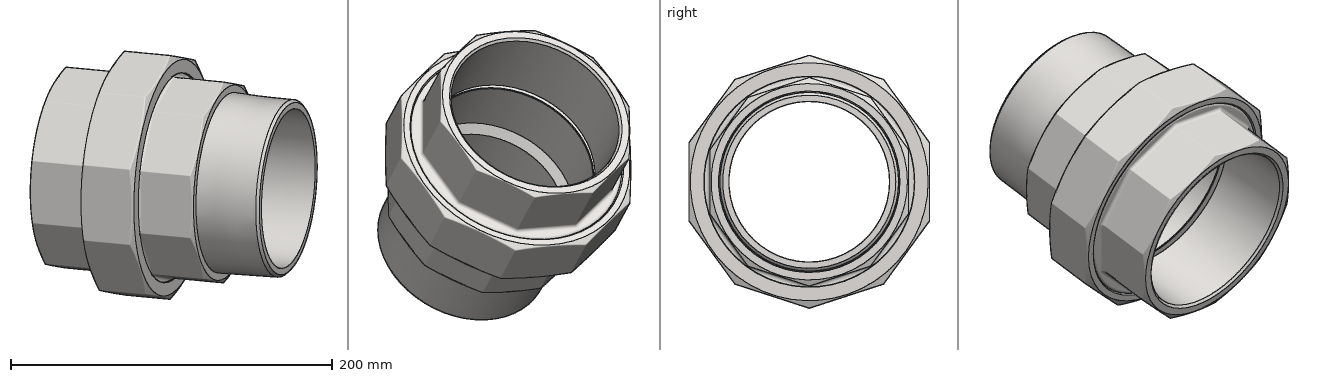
import cadquery as cq
import math

SIDES = 10
FLAT_TO_CORNER = 1 / math.cos(math.pi / SIDES)
OVERALL_HEIGHT = 157.6
NUT_EDGE_FILLET = 1.0
NUT_ACROSS_FLATS = (OVERALL_HEIGHT - 2 * NUT_EDGE_FILLET) / FLAT_TO_CORNER + 2 * NUT_EDGE_FILLET
BODY_EDGE_FILLET = 0.6
BODY_ACROSS_FLATS = 123.5
NUT_CHAMFER_DIAMETER = 148.2
BODY_CHAMFER_DIAMETER = 122.3
CHAMFER_ANGLE = 25.0
TOLERANCE = 0.02

FEMALE_SHOULDER = 38.1
NUT_START = 38.1
NUT_END = 73.1
FEMALE_END = 49.8
MALE_START = 53.3
COLLAR_END = 66.2
MALE_SHOULDER = 71.9
MALE_DECAGON_END = 108.0
TOTAL_LENGTH = 149.0

NUT_BORE = 138.4
NUT_MOUTH = 140.0
LIP_BORE = 131.5

COLLAR_FACE = 136.8
NECK_DIAMETER = 131.0
SHOULDER_FILLET = 2.2
SOCKET_MOUTH = 113.0
BORE = 110.0
OUTLET_BORE = 100.0
OUTLET_CONE_START = 91.4
INLET_CHAMFER = 0.5
SPIGOT_ROOT_DIAMETER = 113.0
SPIGOT_TIP_DIAMETER = 111.3
SPIGOT_CHAMFER = 1.7


def revolved(profile):
    """Solid of revolution about X from (station, diameter) points, closed along the axis."""
    points = [(profile[0][0], 0)]
    points += [(x, diameter / 2) for x, diameter in profile]
    points += [(profile[-1][0], 0)]
    return cq.Workplane("XY").polyline(points).close().revolve(360, (0, 0, 0), (1, 0, 0))


def cylinder(start, end, diameter):
    return revolved([(start, diameter), (end, diameter)])


def corner_chamfer_length(across_flats, face_diameter):
    """Axial length of a corner chamfer, measured at the corners."""
    across_corners = across_flats * FLAT_TO_CORNER
    return (across_corners - face_diameter) / 2 * math.tan(math.radians(CHAMFER_ANGLE))


def decagon(start, end, across_flats, envelope, edge_fillet):
    """Decagonal prism along X with a corner pointing up, trimmed by a turned envelope.

    All edges are rounded except those around the two end faces.
    """
    corner_radius = across_flats * FLAT_TO_CORNER / 2
    angles = [2 * math.pi * i / SIDES for i in range(SIDES)]
    corners = [(corner_radius * math.sin(a), corner_radius * math.cos(a)) for a in angles]
    prism = cq.Workplane("YZ", origin=(start, 0, 0)).polyline(corners).close().extrude(end - start)
    prism = prism.intersect(envelope)
    side_edges = prism.edges().filter(lambda edge: start + TOLERANCE < edge.Center().x < end - TOLERANCE)
    return side_edges.fillet(edge_fillet)


def make_grip(length, collar_length):
    """Decagonal wrench grip with its chamfered end at X = 0, standing on a round collar."""
    corner_diameter = BODY_ACROSS_FLATS * FLAT_TO_CORNER
    end_chamfer = corner_chamfer_length(BODY_ACROSS_FLATS, BODY_CHAMFER_DIAMETER)
    envelope = revolved([
        (0, BODY_CHAMFER_DIAMETER),
        (end_chamfer, corner_diameter),
        (length, corner_diameter),
    ])
    collar_chamfer = (NUT_BORE - COLLAR_FACE) / 2
    collar = revolved([
        (length, COLLAR_FACE),
        (length + collar_chamfer, NUT_BORE),
        (length + collar_length, NUT_BORE),
    ])
    grip = decagon(0, length, BODY_ACROSS_FLATS, envelope, BODY_EDGE_FILLET).union(collar)
    reach = corner_diameter / 2
    low = (length - TOLERANCE, -reach, -reach)
    high = (length + TOLERANCE, reach, reach)
    return grip.edges(cq.selectors.BoxSelector(low, high)).fillet(SHOULDER_FILLET)


def make_nut():
    chamfer = corner_chamfer_length(NUT_ACROSS_FLATS, NUT_CHAMFER_DIAMETER)
    corner_diameter = NUT_ACROSS_FLATS * FLAT_TO_CORNER
    envelope = revolved([
        (NUT_START, NUT_CHAMFER_DIAMETER),
        (NUT_START + chamfer, corner_diameter),
        (NUT_END - chamfer, corner_diameter),
        (NUT_END, NUT_CHAMFER_DIAMETER),
    ])
    mouth_depth = (NUT_MOUTH - NUT_BORE) / 2
    bore = revolved([
        (NUT_START, NUT_MOUTH),
        (NUT_START + mouth_depth, NUT_BORE),
        (COLLAR_END, NUT_BORE),
        (COLLAR_END, LIP_BORE),
        (NUT_END, LIP_BORE),
    ])
    return decagon(NUT_START, NUT_END, NUT_ACROSS_FLATS, envelope, NUT_EDGE_FILLET).cut(bore)


def make_female_fitting():
    grip = make_grip(FEMALE_SHOULDER, FEMALE_END - FEMALE_SHOULDER)
    mouth_depth = (SOCKET_MOUTH - BORE) / 2
    bore = revolved([(0, SOCKET_MOUTH), (mouth_depth, BORE), (FEMALE_END, BORE)])
    return grip.cut(bore)


def make_male_fitting():
    grip = make_grip(MALE_DECAGON_END - MALE_SHOULDER, MALE_SHOULDER - MALE_START)
    grip = grip.mirror("YZ").translate((MALE_DECAGON_END, 0, 0))
    neck_end = MALE_SHOULDER + SHOULDER_FILLET
    neck_ring = cylinder(COLLAR_END, neck_end, NUT_BORE).cut(cylinder(COLLAR_END, neck_end, NECK_DIAMETER))
    body = grip.cut(neck_ring)
    spigot = revolved([
        (MALE_SHOULDER, SPIGOT_ROOT_DIAMETER),
        (MALE_DECAGON_END, SPIGOT_ROOT_DIAMETER),
        (TOTAL_LENGTH - SPIGOT_CHAMFER, SPIGOT_TIP_DIAMETER),
        (TOTAL_LENGTH, SPIGOT_TIP_DIAMETER - 2 * SPIGOT_CHAMFER),
    ])
    bore = revolved([
        (MALE_START, BORE + 2 * INLET_CHAMFER),
        (MALE_START + INLET_CHAMFER, BORE),
        (OUTLET_CONE_START, BORE),
        (OUTLET_CONE_START + (BORE - OUTLET_BORE) / 2, OUTLET_BORE),
        (TOTAL_LENGTH, OUTLET_BORE),
    ])
    return body.union(spigot).cut(bore)


nut = make_nut()
female_fitting = make_female_fitting()
male_fitting = make_male_fitting()

result = cq.Compound.makeCompound([nut.val(), female_fitting.val(), male_fitting.val()])